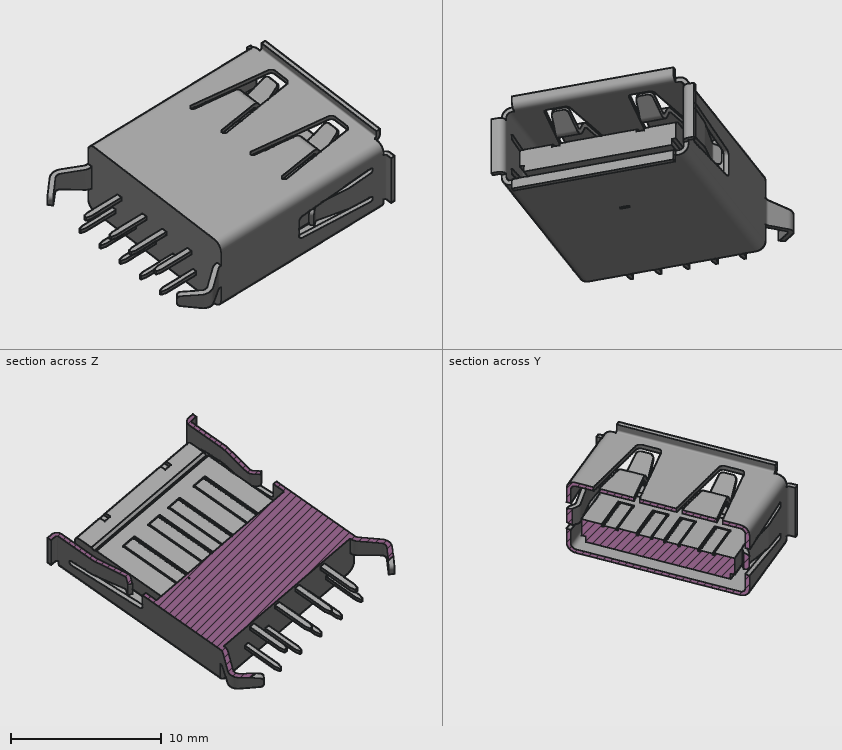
import cadquery as cq
import math


shell_width = 13.27
shell_height = 5.83
shell_length = 14.47
sheet = 0.34
corner_radius = 0.7
strip_tip_corner = 0.32
root_overlap = 0.19

total_height = 6.95
lip_length = 0.49
lip_rise = (total_height - shell_height) / 2
lip_bend = 0.13
long_lip_width = 11.47
short_lip_width = 4.07

slot_end_corner = 0.34
slot_root_corner = 0.19
top_spring_offset = 3
top_spring_root = 7.3
top_slot_length = 6.6
top_slot_widths = (3.6, 1.75)
top_spring_widths = (2.77, 1.15)
top_spring_path = [(0, 0), (3.64, 0), (4.31, -0.95), (5.85, 0.05)]
top_spring_bends = [0.32, 0.19]
side_spring_root = 13.5
side_slot_length = 6.54
side_slot_widths = (3.04, 1.91)
side_spring_widths = (2.2, 1.33)
side_spring_path = [(0, 0), (2.1, 0), (4.67, -0.43), (5.23, 0)]
side_spring_bends = [0.75, 0.22]

leg_span = 15.6
leg_length = 3.79
leg_sheet = 0.4
leg_out_angle = math.radians(36)
leg_back_angle = math.radians(43)
leg_root_straight = 0.19
leg_root_bend = 0.37
leg_knee_bend = 0.4
leg_root_width = 1.99
leg_tip_width = 0.86

housing_depth = 6
tongue_top = 0.04
tongue_thickness = 1.39
tongue_width = 11.1
tongue_end = 13.98
tongue_nose_radius = 0.45
rib_width = 10.5
rib_depth = 0.45
groove_front = 12.5
groove_middle = 12.25
groove_back = 12.05
groove_depth = 0.15
notch_width = 0.56
notch_length = 0.62
notch_depth = 0.34

contact_positions = (-3.49, -1.0, 1.0, 3.49)
channel_width = 1.16
channel_depth = 0.19
channel_end = 11.04
contact_width = 0.9
contact_thickness = 0.11
pin_length = 3.05
pin_thickness = 0.3
pin_tip_length = 0.37
pin_tip_inset = 0.1
upper_pin_width = 0.41
upper_pin_height = 0.11
lower_pin_width = 0.34
lower_pin_height = -1.4
lower_pin_pitch = 2.0
lower_pin_count = 5

bump_width = 0.64
bump_length = 0.13
bump_height = 0.05
bump_position = 8.92

TOP, RIGHT, BOTTOM, LEFT = 0, 90, 180, 270


def onto_wall(part, wall, y, offset=0, rearward=False):
    """Move a part made on a wall (length +Y, outward +Z) to one of the four shell walls."""
    if rearward:
        part = part.rotate((0, 0, 0), (0, 0, 1), 180)
    half_size = shell_height / 2 if wall in (TOP, BOTTOM) else shell_width / 2
    part = part.translate((offset, 0, half_size))
    return part.rotate((0, 0, 0), (0, 1, 0), wall).translate((0, y, 0))


def nearest_edges(part, points):
    """Edges of part whose middles lie closest to the given points."""
    edges = [part.edges(cq.selectors.NearestToPointSelector(point)).val() for point in points]
    return part.newObject(edges)


def bent_strip(path, bend_radii, width, thickness=sheet):
    """Sheet strip whose outward face follows path (points in YZ), with rounded bends."""
    angles = [math.atan2(b[1] - a[1], b[0] - a[0]) for a, b in zip(path, path[1:])]
    starts = [angles[0]] + angles
    ends = angles + [angles[-1]]
    inside = []
    for (y, z), before, after in zip(path, starts, ends):
        middle = (before + after) / 2
        mitre = thickness / math.cos((after - before) / 2)
        inside.append((y + mitre * math.sin(middle), z - mitre * math.cos(middle)))
    strip = cq.Workplane("YZ").polyline(path + inside[::-1]).close().extrude(width / 2, both=True)
    for i, radius in enumerate(bend_radii, start=1):
        outward_radius, inward_radius = radius, radius + thickness
        if angles[i] < angles[i - 1]:
            outward_radius, inward_radius = inward_radius, outward_radius
        strip = nearest_edges(strip, [(0, *path[i])]).fillet(outward_radius)
        strip = nearest_edges(strip, [(0, *inside[i])]).fillet(inward_radius)
    return strip


def tapered_block(root_width, end_width, length):
    """Tall tapered prism along +Y."""
    outline = [
        (-root_width / 2, 0),
        (root_width / 2, 0),
        (end_width / 2, length),
        (-end_width / 2, length),
    ]
    return cq.Workplane("XY").polyline(outline).close().extrude(leg_span / 4, both=True)


def tapered_strip(path, bend_radii, root_width, end_width, thickness=sheet):
    """Bent strip that narrows towards a tip with rounded corners."""
    (y_before, z_before), (y_end, z_end) = path[-2:]
    tip_angle = math.atan2(z_end - z_before, y_end - y_before)
    tip_y = y_end + thickness / 2 * math.sin(tip_angle)
    tip_z = z_end - thickness / 2 * math.cos(tip_angle)
    length = tip_y + thickness / 2 * abs(math.sin(tip_angle))
    strip = bent_strip(path, bend_radii, root_width, thickness)
    strip = strip.intersect(tapered_block(root_width, end_width, length))
    tip_points = [(side * end_width / 2, tip_y, tip_z) for side in (-1, 1)]
    return nearest_edges(strip, tip_points).fillet(strip_tip_corner)


def spring_parts(slot_widths, slot_length, spring_widths, path, bend_radii):
    """Opening to cut from a wall, and the bent spring that stands in it."""
    spring = tapered_strip(path, bend_radii, *spring_widths)
    spring_outline = tapered_block(*spring_widths, spring.val().BoundingBox().ymax)
    slot = tapered_block(*slot_widths, slot_length).edges("|Z and >Y").fillet(slot_end_corner)
    slot = slot.cut(spring_outline).edges("|Z and <Y").fillet(slot_root_corner)
    wall_slab = cq.Workplane("XY").box(shell_width, 2 * shell_length, 4 * sheet)
    return slot.union(spring_outline).intersect(wall_slab), spring


def make_shell():
    tube = cq.Workplane("XY").box(shell_width, shell_length, shell_height)
    tube = tube.edges("|Y").fillet(corner_radius)
    bore = cq.Workplane("XY").box(shell_width - 2 * sheet, shell_length, shell_height - 2 * sheet)
    bore = bore.edges("|Y").fillet(corner_radius - sheet)
    tube = tube.cut(bore.translate((0, housing_depth, 0)))
    return tube.translate((0, shell_length / 2, 0))


def make_lip(width):
    heel = lip_length - sheet
    return bent_strip([(-root_overlap, 0), (heel, 0), (heel, lip_rise)], [lip_bend], width)


def make_leg():
    half_turn = (leg_out_angle + leg_back_angle) / 2
    lean = (leg_back_angle - leg_out_angle) / 2
    knee_radius = leg_knee_bend + leg_sheet
    knee_cutback = knee_radius * (math.cos(lean) / math.cos(half_turn) - 1)
    knee_height = (leg_span - shell_width) / 2 + knee_cutback
    knee = leg_root_straight + knee_height / math.tan(leg_out_angle)
    tip_height = knee_height - (leg_length - knee) * math.tan(leg_back_angle)
    path = [(0, 0), (leg_root_straight, 0), (knee, knee_height), (leg_length, tip_height)]
    bends = [leg_root_bend, leg_knee_bend]
    return tapered_strip(path, bends, leg_root_width, leg_tip_width, leg_sheet)


def make_tongue():
    bottom = tongue_top - tongue_thickness
    nose = tongue_end - tongue_nose_radius
    profile = (
        cq.Workplane("YZ")
        .moveTo(0, bottom)
        .lineTo(tongue_end, bottom)
        .lineTo(tongue_end, tongue_top - tongue_nose_radius)
        .radiusArc((nose, tongue_top), -tongue_nose_radius)
        .lineTo(groove_front, tongue_top)
        .lineTo(groove_middle, tongue_top - groove_depth)
        .lineTo(groove_back, tongue_top)
        .lineTo(0, tongue_top)
        .close()
    )
    tongue = profile.extrude(tongue_width / 2, both=True)
    rib = cq.Workplane("XY").box(rib_width, tongue_end, rib_depth, centered=(True, False, False))
    tongue = tongue.union(rib.translate((0, 0, bottom - rib_depth)))
    notch = cq.Workplane("XY").box(notch_width, 2 * notch_length, 2 * notch_depth)
    for x in (-top_spring_offset, top_spring_offset):
        tongue = tongue.cut(notch.translate((x, tongue_end, tongue_top)))
    channel_base = tongue_top - channel_depth
    channel_length = channel_end - housing_depth
    centering = (True, False, False)
    channel = cq.Workplane("XY").box(channel_width, channel_length, channel_depth, centered=centering)
    contact = cq.Workplane("XY").box(contact_width, channel_length, contact_thickness, centered=centering)
    for x in contact_positions:
        tongue = tongue.cut(channel.translate((x, housing_depth, channel_base)))
        tongue = tongue.union(contact.translate((x, housing_depth, channel_base)))
    return tongue


def make_pin(width, x, z):
    half = width / 2
    shoulder = pin_tip_length - pin_length
    outline = [
        (-half, root_overlap),
        (-half, shoulder),
        (pin_tip_inset - half, -pin_length),
        (half - pin_tip_inset, -pin_length),
        (half, shoulder),
        (half, root_overlap),
    ]
    pin = cq.Workplane("XY").polyline(outline).close().extrude(pin_thickness / 2, both=True)
    return pin.translate((x, 0, z))


body = make_shell().union(make_tongue())

for wall, lip_width in (
    (TOP, long_lip_width),
    (BOTTOM, long_lip_width),
    (LEFT, short_lip_width),
    (RIGHT, short_lip_width),
):
    body = body.union(onto_wall(make_lip(lip_width), wall, shell_length))

top_opening, top_spring = spring_parts(
    top_slot_widths, top_slot_length, top_spring_widths, top_spring_path, top_spring_bends
)
for x in (-top_spring_offset, top_spring_offset):
    body = body.cut(onto_wall(top_opening, TOP, top_spring_root, x))
    body = body.union(onto_wall(top_spring, TOP, top_spring_root, x))

side_opening, side_spring = spring_parts(
    side_slot_widths, side_slot_length, side_spring_widths, side_spring_path, side_spring_bends
)
leg = make_leg()
for wall in (LEFT, RIGHT):
    body = body.cut(onto_wall(side_opening, wall, side_spring_root, rearward=True))
    body = body.union(onto_wall(side_spring, wall, side_spring_root, rearward=True))
    body = body.union(onto_wall(leg, wall, 0, rearward=True))

for x in contact_positions:
    body = body.union(make_pin(upper_pin_width, x, upper_pin_height))
for i in range(lower_pin_count):
    x = (i - (lower_pin_count - 1) / 2) * lower_pin_pitch
    body = body.union(make_pin(lower_pin_width, x, lower_pin_height))

bump = cq.Workplane("XY").box(bump_width, bump_length, 2 * bump_height)
body = body.union(onto_wall(bump, BOTTOM, bump_position))

result = body